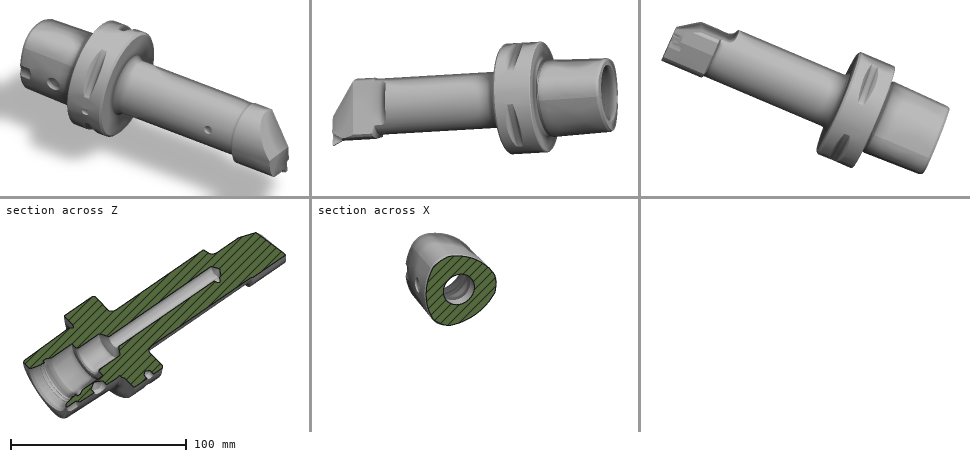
import cadquery as cq
import math


SHANK_END = 36.8
FLANGE_START = 37.8
FLANGE_END = 60.0
BAR_END = 136.1
HEAD_START = 137.4
OVERALL_LENGTH = 163.0

FLAT_REACH_SMALL = 19.4
FLAT_REACH_LARGE = 20.4
FLAT_ARC_CENTRE = 12.7
LOBE_ARC_CENTRE = 11.1
LOBE_COUNT = 3
NECK_STEP = 0.3
SHANK_CHAMFER_LENGTH = 1.5
SHANK_CHAMFER_HEIGHT = 0.8
TAPER_END = 35.2
LOBE_TRIM_RADIUS = 23.6
COLLAR_RADIUS_SMALL = 22.0
COLLAR_RADIUS_LARGE = 24.3

SHANK_HOLE_DIAMETER = 8.6
SHANK_HOLE_X = 22.7
SHANK_HOLE_FLOOR_Y = -16.8
NOTCH_DIAMETER = 11.7
NOTCH_AXIS_Y = -23.5
NOTCH_LENGTH = 6.5
FLANGE_HOLE_DIAMETER = 4.4
FLANGE_HOLE_X = 49.9
FLANGE_HOLE_DEPTH = 3.3
DRILL_HALF_ANGLE = 59

FLANGE_RADIUS = 63.0 / 2
FLANGE_CHAMFER_REAR = 0.5
FLANGE_CHAMFER_FRONT = 1.1
GRIP_SLOT_X = 49.9
GRIP_SLOT_FLOOR_WIDTH = 3.3
GRIP_SLOT_MOUTH_WIDTH = 7.7
GRIP_SLOT_FLOOR_RADIUS = 28.0
GRIP_SLOT_COUNT = 4

BAR_RADIUS = 16.0
BAR_FILLET_HEIGHT = 2.0
BAR_FILLET_LENGTH = 3.9
BAR_HOLE_X = 120.8
BAR_HOLE_RADIUS = 2.5
BAR_HOLE_TILT = 18
BAR_HOLE_STEP_RADIUS = 10.1
BAR_HOLE_INNER_RADIUS = 2.1

BORE_MOUTH_RADIUS = 16.1
BORE_CONE_RADIUS = 15.3
BORE_CONE_END = 1.5
BORE_ENTRY_RADIUS = 14.2
BORE_ENTRY_END = 6.4
BORE_RADIUS = 13.9
BORE_GROOVE_START = 7.3
BORE_GROOVE_WIDTH = 1.0
BORE_UNDERCUT_START = 9.5
BORE_UNDERCUT_END = 11.4
BORE_UNDERCUT_RADIUS = 15.3
BORE_UNDERCUT_CONE_END = 14.3
BORE_FLOOR_X = 29.3
INNER_BORE_RADIUS = 10.1
INNER_BORE_CHAMFER = 0.8
INNER_BORE_END = 45.6
COOLANT_RADIUS = 4.2
COOLANT_END = 123.9

HEAD_RADIUS = 16.6
HEAD_DROP = 3.9
HEAD_BOTTOM = -18.6
ARC_MIDDLE_TURN = math.radians(20)
HEAD_SLOPE_START = -15.0
NOSE_POINT = (148.0, 3.9, 16.1)
NOSE_SLOPE = 0.66
NOSE_SKEW = 0.16
HEAD_END_X = 161.7
FLAT_Y = 9.6
FLAT_START_X = 127.8
FLAT_CORNER_X = 129.3
FLAT_CORNER_RADIUS = 4.0
TAPER_START_X = 148.5
TAPER_END_Y = 4.4

INSERT_EDGE = 7.3
INSERT_THICKNESS = 2.0
INSERT_CLEARANCE = 7
INSERT_NOSE_RADIUS = 0.3
INSERT_TIP_Z = -21.5
LEAD_ANGLE = 3
SEAT_OPENING = 1.6
WEB_THICKNESS = 1.6
WEB_INSET = 0.8
POCKET_TOP = -17.0
POCKET_START_X = 155.5

SCREW_RADIUS = 1.0
SCREW_HEAD_RADIUS = 1.5
SCREW_HEAD_HEIGHT = 0.8


def revolve_x(points):
    """Solid of revolution about X from (x, radius) points."""
    return cq.Workplane("XY").polyline(points).close().revolve(360, (0, 0, 0), (1, 0, 0))


def drill(start, radius, depth):
    """Hole drilled towards +Y, with a conical bottom beyond the full-diameter depth."""
    tip = radius / math.tan(math.radians(DRILL_HALF_ANGLE))
    section = [(0, 0), (radius, 0), (radius, depth), (0, depth + tip)]
    hole = cq.Workplane("XY").polyline(section).close().revolve(360, (0, 0, 0), (0, 1, 0))
    return hole.translate(start)


def lobed_outline(x, flat_reach):
    """Three flat arcs (the first towards -Y) joined by three tangent lobe arcs."""
    sector = 2 * math.pi / LOBE_COUNT
    run = FLAT_ARC_CENTRE + LOBE_ARC_CENTRE * math.cos(sector / 2)
    rise = LOBE_ARC_CENTRE * math.sin(sector / 2)
    flat_radius = FLAT_ARC_CENTRE + flat_reach
    lobe_radius = flat_radius - math.hypot(run, rise)
    seam_turn = math.atan2(rise, run)
    seam_y = FLAT_ARC_CENTRE - flat_radius * math.cos(seam_turn)
    seam_z = flat_radius * math.sin(seam_turn)
    lobe_reach = LOBE_ARC_CENTRE + lobe_radius

    def turned(y, z, angle):
        cosine = math.cos(angle)
        sine = math.sin(angle)
        return (y * cosine - z * sine, y * sine + z * cosine)

    outline = cq.Workplane("YZ", origin=(x, 0, 0)).moveTo(seam_y, seam_z)
    for i in range(LOBE_COUNT):
        turn = i * sector
        outline = outline.threePointArc(
            turned(-flat_reach, 0, turn), turned(seam_y, -seam_z, turn)
        ).threePointArc(
            turned(-lobe_reach, 0, turn + sector / 2), turned(seam_y, seam_z, turn + sector)
        )
    return outline.close().val()


def lobed_loft(start_x, start_reach, end_x, end_reach):
    """Straight-sided solid between two lobed outlines."""
    sections = [lobed_outline(start_x, start_reach), lobed_outline(end_x, end_reach)]
    return cq.Workplane(cq.Solid.makeLoft(sections, True))


def make_shank():
    """Polygon taper with a chamfered end, and a slightly smaller neck behind it."""
    neck_reach = FLAT_REACH_LARGE - NECK_STEP
    neck_start = TAPER_END + NECK_STEP
    end_reach = FLAT_REACH_SMALL - SHANK_CHAMFER_HEIGHT
    shank = lobed_loft(0, end_reach, SHANK_CHAMFER_LENGTH, FLAT_REACH_SMALL)
    shank = shank.union(
        lobed_loft(SHANK_CHAMFER_LENGTH, FLAT_REACH_SMALL, TAPER_END, FLAT_REACH_LARGE)
    )
    shank = shank.union(lobed_loft(TAPER_END, FLAT_REACH_LARGE, neck_start, neck_reach))
    shank = shank.union(lobed_loft(neck_start, neck_reach, SHANK_END, neck_reach))
    lobe_trim = revolve_x([
        (0, 0), (0, LOBE_TRIM_RADIUS), (TAPER_END, LOBE_TRIM_RADIUS),
        (SHANK_END, COLLAR_RADIUS_SMALL), (SHANK_END, 0),
    ])
    return shank.intersect(lobe_trim)


def make_flange_and_bar():
    """Turned collar, flange and bar with an arc running from flange to bar."""
    fillet_radius = (BAR_FILLET_LENGTH**2 + BAR_FILLET_HEIGHT**2) / (2 * BAR_FILLET_HEIGHT)
    collar_length = FLANGE_START - SHANK_END
    collar_height = COLLAR_RADIUS_LARGE - COLLAR_RADIUS_SMALL
    collar_arc_radius = (collar_length**2 + collar_height**2) / (2 * collar_length)
    collar_half_turn = math.atan2(collar_length, collar_height)
    collar_middle = (
        FLANGE_START - collar_arc_radius * (1 - math.cos(collar_half_turn)),
        COLLAR_RADIUS_LARGE - collar_arc_radius * math.sin(collar_half_turn),
    )
    fillet_end = FLANGE_END + BAR_FILLET_LENGTH
    half_turn = math.atan2(BAR_FILLET_HEIGHT, BAR_FILLET_LENGTH)
    fillet_middle = (
        fillet_end - fillet_radius * math.sin(half_turn),
        BAR_RADIUS + fillet_radius * (1 - math.cos(half_turn)),
    )
    return (
        cq.Workplane("XY")
        .moveTo(SHANK_END, 0)
        .lineTo(SHANK_END, COLLAR_RADIUS_SMALL)
        .threePointArc(collar_middle, (FLANGE_START, COLLAR_RADIUS_LARGE))
        .lineTo(FLANGE_START, FLANGE_RADIUS - FLANGE_CHAMFER_REAR)
        .lineTo(FLANGE_START + FLANGE_CHAMFER_REAR, FLANGE_RADIUS)
        .lineTo(FLANGE_END - FLANGE_CHAMFER_FRONT, FLANGE_RADIUS)
        .lineTo(FLANGE_END, FLANGE_RADIUS - FLANGE_CHAMFER_FRONT)
        .lineTo(FLANGE_END, BAR_RADIUS + BAR_FILLET_HEIGHT)
        .threePointArc(fillet_middle, (fillet_end, BAR_RADIUS))
        .lineTo(BAR_END, BAR_RADIUS)
        .lineTo(BAR_END, 0)
        .close()
        .revolve(360, (0, 0, 0), (1, 0, 0))
    )


def head_outline(workplane):
    """Circle stretched downwards, with a sloping and a level flat at the bottom."""

    def on_lower_arc(z):
        return math.sqrt(HEAD_RADIUS**2 - (z + HEAD_DROP) ** 2)

    middle_y = HEAD_RADIUS * math.cos(ARC_MIDDLE_TURN)
    middle_z = -HEAD_DROP - HEAD_RADIUS * math.sin(ARC_MIDDLE_TURN)
    return (
        workplane.moveTo(HEAD_RADIUS, 0)
        .threePointArc((0, HEAD_RADIUS), (-HEAD_RADIUS, 0))
        .lineTo(-HEAD_RADIUS, -HEAD_DROP)
        .threePointArc(
            (-middle_y, middle_z),
            (-on_lower_arc(HEAD_SLOPE_START), HEAD_SLOPE_START),
        )
        .lineTo(0, HEAD_BOTTOM)
        .lineTo(on_lower_arc(HEAD_BOTTOM), HEAD_BOTTOM)
        .threePointArc((middle_y, middle_z), (HEAD_RADIUS, -HEAD_DROP))
        .close()
    )


def make_head():
    """Head with a leaning end face, a skewed slope over the nose and a lofted shoulder."""
    lead_slope = math.tan(math.radians(LEAD_ANGLE))
    prism = head_outline(cq.Workplane("YZ", origin=(HEAD_START, 0, 0)))
    prism = prism.extrude(OVERALL_LENGTH - HEAD_START)
    shoulder = head_outline(cq.Workplane("YZ", origin=(HEAD_START, 0, 0)))
    shoulder = shoulder.workplane(offset=BAR_END - HEAD_START).circle(BAR_RADIUS).loft(ruled=True)
    side = (
        cq.Workplane("XZ", origin=(0, HEAD_RADIUS, 0))
        .polyline([
            (HEAD_START, HEAD_BOTTOM), (HEAD_START, HEAD_RADIUS),
            (HEAD_END_X - HEAD_RADIUS * lead_slope, HEAD_RADIUS),
            (HEAD_END_X - HEAD_BOTTOM * lead_slope, HEAD_BOTTOM),
        ])
        .close().extrude(2 * HEAD_RADIUS)
    )
    nose_plane = cq.Plane(
        origin=NOSE_POINT, xDir=(-NOSE_SLOPE, 0, 1), normal=(1, NOSE_SKEW, NOSE_SLOPE)
    )
    cutter_side = 6 * HEAD_RADIUS
    beyond_nose = cq.Workplane(nose_plane).rect(cutter_side, cutter_side).extrude(cutter_side)
    return prism.intersect(side).cut(beyond_nose).union(shoulder)


def make_head_flat():
    """Cutter for the flat and the tapered end on the +Y side of the bar and head."""
    outside = 2 * HEAD_RADIUS
    return (
        cq.Workplane("XY", origin=(0, 0, -outside))
        .polyline([
            (FLAT_START_X, outside), (FLAT_START_X, BAR_RADIUS), (FLAT_CORNER_X, FLAT_Y),
            (TAPER_START_X, FLAT_Y), (OVERALL_LENGTH, TAPER_END_Y), (OVERALL_LENGTH, outside),
        ])
        .close().extrude(2 * outside)
        .edges("|Z").edges(cq.selectors.NearestToPointSelector((FLAT_CORNER_X, FLAT_Y, 0)))
        .fillet(FLAT_CORNER_RADIUS)
    )


def make_bore():
    """Stepped bore with a groove, an undercut and a drilled coolant hole at its end."""
    tip_slope = math.tan(math.radians(DRILL_HALF_ANGLE))
    inner_end_radius = INNER_BORE_RADIUS - INNER_BORE_CHAMFER
    coolant_start = INNER_BORE_END + (inner_end_radius - COOLANT_RADIUS) / tip_slope
    bore = revolve_x([
        (0, 0), (0, BORE_MOUTH_RADIUS), (BORE_CONE_END, BORE_CONE_RADIUS),
        (BORE_ENTRY_END, BORE_ENTRY_RADIUS), (BORE_ENTRY_END, BORE_RADIUS),
        (BORE_UNDERCUT_START, BORE_RADIUS), (BORE_UNDERCUT_START, BORE_UNDERCUT_RADIUS),
        (BORE_UNDERCUT_END, BORE_UNDERCUT_RADIUS), (BORE_UNDERCUT_CONE_END, BORE_RADIUS),
        (BORE_FLOOR_X, BORE_RADIUS), (BORE_FLOOR_X, INNER_BORE_RADIUS),
        (BORE_FLOOR_X + INNER_BORE_CHAMFER, inner_end_radius),
        (INNER_BORE_END, inner_end_radius),
        (coolant_start, COOLANT_RADIUS), (COOLANT_END, COOLANT_RADIUS),
        (COOLANT_END + COOLANT_RADIUS / tip_slope, 0),
    ])
    groove_end = BORE_GROOVE_START + BORE_GROOVE_WIDTH
    groove = revolve_x([
        (BORE_GROOVE_START, 0), (BORE_GROOVE_START, BORE_ENTRY_RADIUS),
        (groove_end, BORE_ENTRY_RADIUS), (groove_end, 0),
    ])
    return bore.union(groove)


def make_grip_slots():
    """Trapezoid slots across the flange rim, one on each diagonal."""
    half_floor = GRIP_SLOT_FLOOR_WIDTH / 2
    half_mouth = GRIP_SLOT_MOUTH_WIDTH / 2
    slot = (
        cq.Workplane("XZ", origin=(GRIP_SLOT_X, FLANGE_RADIUS, 0))
        .polyline([
            (-half_floor, GRIP_SLOT_FLOOR_RADIUS), (half_floor, GRIP_SLOT_FLOOR_RADIUS),
            (half_mouth, FLANGE_RADIUS), (-half_mouth, FLANGE_RADIUS),
        ])
        .close().extrude(2 * FLANGE_RADIUS)
    )
    pitch = 360 / GRIP_SLOT_COUNT
    return [
        slot.rotate((0, 0, 0), (1, 0, 0), pitch * (i + 0.5)) for i in range(GRIP_SLOT_COUNT)
    ]


def make_side_holes():
    """Blind holes and end notch on the -Y side, and the tilted coolant outlet in the bar."""
    shank_hole = drill(
        (SHANK_HOLE_X, -FLANGE_RADIUS, 0),
        SHANK_HOLE_DIAMETER / 2, FLANGE_RADIUS + SHANK_HOLE_FLOOR_Y,
    )
    flange_hole = drill(
        (FLANGE_HOLE_X, -FLANGE_RADIUS, 0), FLANGE_HOLE_DIAMETER / 2, FLANGE_HOLE_DEPTH
    )
    notch = drill((0, 0, 0), NOTCH_DIAMETER / 2, NOTCH_LENGTH)
    notch = notch.rotate((0, 0, 0), (0, 0, 1), -90).translate((0, NOTCH_AXIS_Y, 0))
    bar_hole = (
        cq.Workplane("XZ", origin=(BAR_HOLE_X, 0, 0))
        .circle(BAR_HOLE_INNER_RADIUS).extrude(2 * BAR_RADIUS)
        .union(
            cq.Workplane("XZ", origin=(BAR_HOLE_X, -BAR_HOLE_STEP_RADIUS, 0))
            .circle(BAR_HOLE_RADIUS).extrude(BAR_RADIUS)
        )
        .rotate((0, 0, 0), (1, 0, 0), -BAR_HOLE_TILT)
    )
    return [shank_hole, flange_hole, notch, bar_hole]


def triangle_prism(inset, start_y, depth, taper=0):
    """Prism towards -Y with the insert's outline; its lowest nose is the tool tip."""
    nose_x = OVERALL_LENGTH - INSERT_NOSE_RADIUS
    nose_z = INSERT_TIP_Z + INSERT_NOSE_RADIUS
    side = INSERT_EDGE - 2 * math.sqrt(3) * INSERT_NOSE_RADIUS
    prism = (
        cq.Workplane("XZ")
        .polyline([(0, 0), (0, side), (-side * math.sqrt(3) / 2, side / 2)])
        .close().offset2D(INSERT_NOSE_RADIUS - inset)
        .extrude(depth, taper=taper)
    )
    return prism.rotate((0, 0, 0), (0, -1, 0), LEAD_ANGLE).translate((nose_x, start_y, nose_z))


def make_insert(screw):
    """Triangular insert facing +Y with its back at centre height."""
    blank = triangle_prism(0, INSERT_THICKNESS, INSERT_THICKNESS, taper=INSERT_CLEARANCE)
    return blank.cut(screw)


def make_screw():
    """Countersunk screw through the middle of the insert, flush on both sides."""
    head_y = INSERT_THICKNESS
    cone_end_y = INSERT_THICKNESS - SCREW_HEAD_HEIGHT
    nose_centre_to_middle = INSERT_EDGE / math.sqrt(3) - 2 * INSERT_NOSE_RADIUS
    direction = math.radians(120 + LEAD_ANGLE)
    middle_x = OVERALL_LENGTH - INSERT_NOSE_RADIUS + nose_centre_to_middle * math.cos(direction)
    middle_z = INSERT_TIP_Z + INSERT_NOSE_RADIUS + nose_centre_to_middle * math.sin(direction)
    return (
        cq.Workplane("XY")
        .polyline([
            (0, -WEB_THICKNESS), (SCREW_RADIUS, -WEB_THICKNESS), (SCREW_RADIUS, cone_end_y),
            (SCREW_HEAD_RADIUS, head_y), (0, head_y),
        ])
        .close().revolve(360, (0, 0, 0), (0, 1, 0))
        .translate((middle_x, 0, middle_z))
    )


def make_insert_pocket():
    """Seat open towards +Y and past the insert's free edges, and the relief behind its web."""
    blank = triangle_prism(0, INSERT_THICKNESS, INSERT_THICKNESS, taper=INSERT_CLEARANCE)
    mouth = triangle_prism(0, HEAD_RADIUS, HEAD_RADIUS - INSERT_THICKNESS)
    seat = blank.union(mouth)
    past_end = seat.translate((SEAT_OPENING, 0, 0))
    past_bottom = seat.translate((0, 0, -SEAT_OPENING))
    relief = (
        cq.Workplane("XY")
        .box(HEAD_RADIUS, HEAD_RADIUS, HEAD_RADIUS, centered=False)
        .translate((POCKET_START_X, -HEAD_RADIUS - WEB_THICKNESS, POCKET_TOP - HEAD_RADIUS))
    )
    return [seat, past_end, past_bottom, relief]


def make_holder(screw):
    """Shank, flange, bar and head in one, with the web that backs the insert."""
    holder = make_flange_and_bar().union(make_shank()).union(make_head())
    cutters = [make_bore(), make_head_flat()]
    cutters += make_grip_slots() + make_side_holes() + make_insert_pocket()
    for cutter in cutters:
        holder = holder.cut(cutter)
    web = triangle_prism(WEB_INSET, 0, WEB_THICKNESS)
    return holder.union(web).cut(screw)


screw = make_screw()
insert = make_insert(screw)
holder = make_holder(screw)
result = cq.Compound.makeCompound([
    *holder.solids().vals(), *insert.solids().vals(), screw.val(),
])